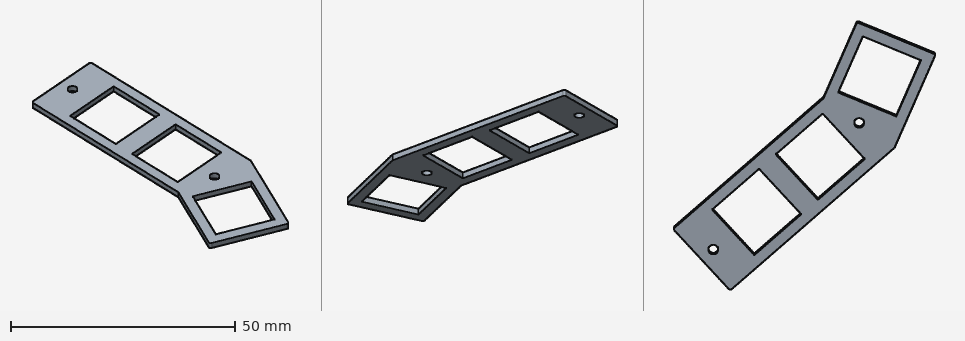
import cadquery as cq
import math

overall_length = 70.25
overall_width = 26.93
thickness = 1.5

pitch = 19.05
frame_width = 2.5
window_size = pitch - 2 * frame_width
half_width = pitch / 2

first_window_x = 16.5
window_xs = [first_window_x, first_window_x + pitch]

hole_diameter = 2.2
hole_xs = [3.5, 47.2]

bend_angle = 25.0
corner_radius = 0.5

cos_bend = math.cos(math.radians(bend_angle))
sin_bend = math.sin(math.radians(bend_angle))
corner_loss = corner_radius * (cos_bend + sin_bend - 1)
arm_length = (overall_width + corner_loss - half_width * (1 + cos_bend)) / sin_bend
bend_x = overall_length + corner_loss - arm_length * cos_bend - half_width * sin_bend
bend_shift = half_width * math.tan(math.radians(bend_angle / 2))


def arm_point(along, across):
    """Point given by its distance along the arm centreline and across it (left positive)."""
    return (
        bend_x + along * cos_bend + across * sin_bend,
        -along * sin_bend + across * cos_bend,
    )


def make_plate():
    """Bent plate with its free corners rounded and its two bend corners left sharp."""
    free_corners = [
        (0, -half_width),
        (0, half_width),
        arm_point(arm_length, half_width),
        arm_point(arm_length, -half_width),
    ]
    outline = [
        free_corners[0],
        free_corners[1],
        (bend_x + bend_shift, half_width),
        free_corners[2],
        free_corners[3],
        (bend_x - bend_shift, -half_width),
    ]
    plate = cq.Workplane("XY").polyline(outline).close().extrude(thickness)
    for corner in free_corners:
        nearest = cq.selectors.NearestToPointSelector((corner[0], corner[1], thickness / 2))
        plate = plate.edges("|Z").edges(nearest).fillet(corner_radius)
    return plate


def make_window(center, angle):
    """Square cutter for one window, turned about its own centre."""
    cutter = cq.Workplane("XY").rect(window_size, window_size).extrude(thickness)
    return cutter.rotate((0, 0, 0), (0, 0, 1), angle).translate((center[0], center[1], 0))


def make_holes():
    """Cutters for the screw holes."""
    centers = [(x, 0) for x in hole_xs]
    return cq.Workplane("XY").pushPoints(centers).circle(hole_diameter / 2).extrude(thickness)


result = make_plate()
for window_x in window_xs:
    result = result.cut(make_window((window_x, 0), 0))
result = result.cut(make_window(arm_point(arm_length - half_width, 0), -bend_angle))
result = result.cut(make_holes())